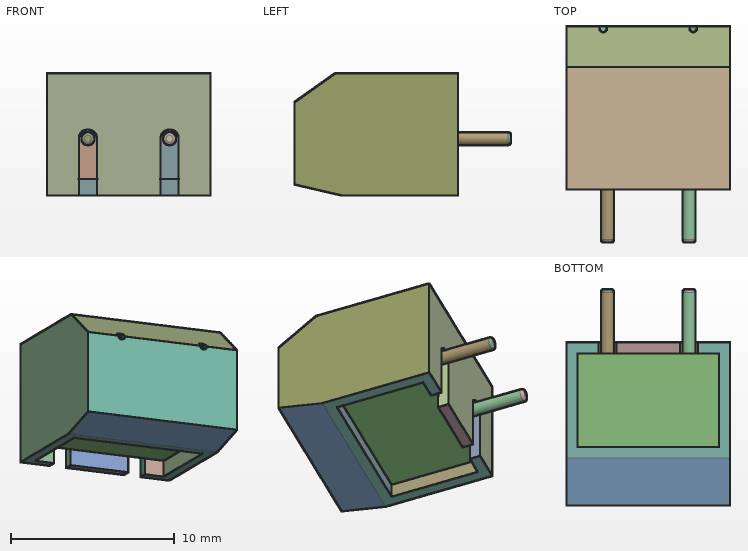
import cadquery as cq

overall_length = 13.25
body_width = 10.0
body_length = 10.0
body_height = 7.5

top_slope_run = 2.5
top_slope_drop = 1.78
bottom_slope_run = 2.92
bottom_slope_rise = 0.68

pin_spacing = 5.0
pin_height = 3.48
pin_diameter = 0.81
pin_tip_radius = 0.2
pin_projection = overall_length - body_length
pin_positions = (-pin_spacing / 2, pin_spacing / 2)

slot_width = 1.11
wall_thickness = 0.69

recess_height = 1.01
recess_width = body_width - 2 * wall_thickness
recess_length = body_length - bottom_slope_run - 2 * wall_thickness

hole_spacing = 5.5
hole_diameter = 0.46
hole_depth = 0.53
hole_above_edge = 0.04
hole_height = body_height - top_slope_drop + hole_above_edge
hole_positions = (-hole_spacing / 2, hole_spacing / 2)


def make_body():
    """Side profile extruded across the width, front face at Y = 0."""
    profile = [
        (0, 0),
        (body_length - bottom_slope_run, 0),
        (body_length, bottom_slope_rise),
        (body_length, body_height - top_slope_drop),
        (body_length - top_slope_run, body_height),
        (0, body_height),
    ]
    return cq.Workplane("YZ").polyline(profile).close().extrude(body_width / 2, both=True)


def make_recess():
    """Rectangular pocket opening through the underside."""
    return (
        cq.Workplane("XY")
        .box(recess_width, recess_length, recess_height, centered=(True, False, False))
        .translate((0, wall_thickness, 0))
    )


def rod_along_y(x, y_start, z, diameter, length):
    """Cylinder running in +Y from the given start point."""
    axis_start = cq.Vector(x, y_start, z)
    return cq.Workplane(cq.Solid.makeCylinder(diameter / 2, length, axis_start, cq.Vector(0, 1, 0)))


def make_slot(x):
    """Slot through the front wall with a round top centred on the pin."""
    straight = (
        cq.Workplane("XY")
        .box(slot_width, wall_thickness, pin_height, centered=(True, False, False))
        .translate((x, 0, 0))
    )
    round_top = rod_along_y(x, 0, pin_height, slot_width, wall_thickness)
    return straight.union(round_top)


def make_pin(x):
    """Pin from the back of its slot to a rounded tip in front of the body."""
    pin = rod_along_y(x, -pin_projection, pin_height, pin_diameter, pin_projection + wall_thickness)
    return pin.faces("<Y").fillet(pin_tip_radius)


body = make_body().cut(make_recess())

for hole_x in hole_positions:
    hole_start = body_length - hole_depth
    body = body.cut(rod_along_y(hole_x, hole_start, hole_height, hole_diameter, hole_depth))

for pin_x in pin_positions:
    body = body.cut(make_slot(pin_x))
    body = body.union(make_pin(pin_x))

result = body